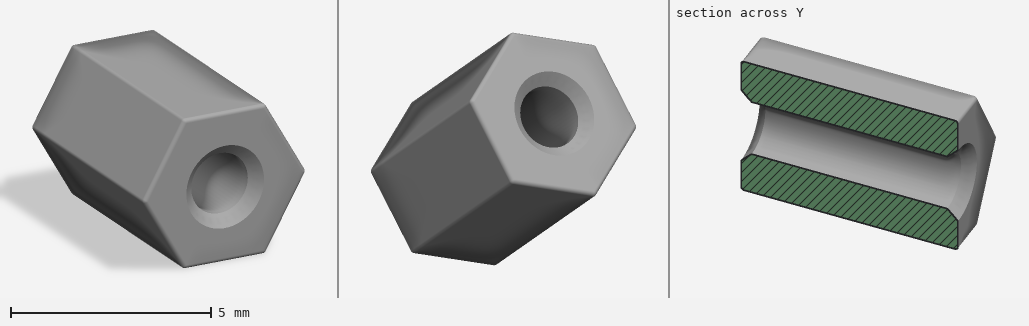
import cadquery as cq
import math

length = 6.0
across_flats = 4.0
edge_radius = 0.1
bore_diameter = 1.6
countersink_diameter = 2.2
countersink_depth = (countersink_diameter - bore_diameter) / 2


def hexagonal_body():
    """Hexagonal bar with flats at top and bottom and every edge rounded."""
    across_corners = across_flats / math.cos(math.radians(30))
    bar = cq.Workplane("YZ").polygon(6, across_corners).extrude(length / 2, both=True)
    return bar.edges().fillet(edge_radius)


def countersunk_bore():
    """Through bore with a conical countersink at each end, as a solid to cut."""
    half_length = length / 2
    bore_radius = bore_diameter / 2
    countersink_radius = countersink_diameter / 2
    cone_end = half_length - countersink_depth
    half_section = [
        (-half_length, 0),
        (-half_length, countersink_radius),
        (-cone_end, bore_radius),
        (cone_end, bore_radius),
        (half_length, countersink_radius),
        (half_length, 0),
    ]
    profile = cq.Workplane("XY").polyline(half_section).close()
    return profile.revolve(360, (0, 0, 0), (1, 0, 0))


result = hexagonal_body().cut(countersunk_bore())